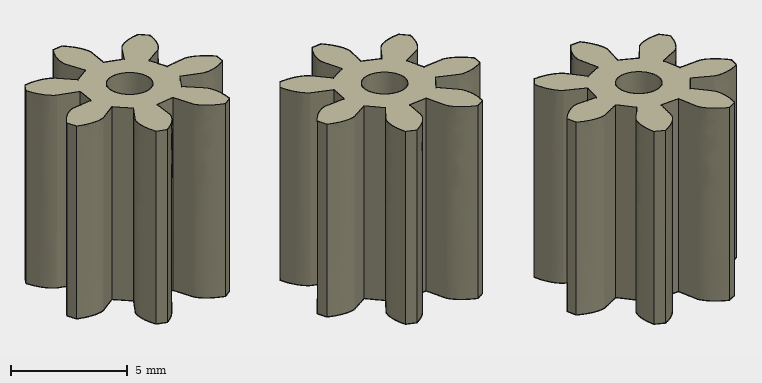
import cadquery as cq
import math

teeth = 7
tip_diameter = 9.0
bore_diameter = 2.0
length = 9.38
pressure_angle = math.radians(20)
addendum_ratio = 1.0
dedendum_ratio = 1.25
flank_points = 8

module = tip_diameter / (teeth + 2 * addendum_ratio)
pitch_radius = module * teeth / 2
tip_radius = tip_diameter / 2
root_radius = pitch_radius - dedendum_ratio * module
base_radius = pitch_radius * math.cos(pressure_angle)

base_half_angle = math.pi / (2 * teeth) + math.tan(pressure_angle) - pressure_angle
tip_roll = math.sqrt((tip_radius / base_radius) ** 2 - 1)


def polar(radius, angle):
    return (radius * math.cos(angle), radius * math.sin(angle))


def involute_flank(tooth_angle, side):
    """Points from base circle to tip; side is -1 for the clockwise flank, +1 for the other."""
    points = []
    for i in range(flank_points):
        roll = tip_roll * i / (flank_points - 1)
        radius = base_radius * math.sqrt(1 + roll**2)
        half_angle = base_half_angle - (roll - math.atan(roll))
        points.append(polar(radius, tooth_angle + side * half_angle))
    return points


def gear_outline():
    """Teeth with radial lower flanks, involute upper flanks, flat tips and flat roots."""
    outline = cq.Workplane("XY").moveTo(*polar(root_radius, -base_half_angle))
    for tooth in range(teeth):
        tooth_angle = 2 * math.pi * tooth / teeth
        next_angle = 2 * math.pi * (tooth + 1) / teeth
        rising = involute_flank(tooth_angle, -1)
        falling = involute_flank(tooth_angle, 1)[::-1]

        outline = outline.lineTo(*rising[0])
        outline = outline.spline(rising[1:], includeCurrent=True)
        outline = outline.lineTo(*falling[0])
        outline = outline.spline(falling[1:], includeCurrent=True)
        outline = outline.lineTo(*polar(root_radius, tooth_angle + base_half_angle))
        if tooth < teeth - 1:
            outline = outline.lineTo(*polar(root_radius, next_angle - base_half_angle))
    return outline.close()


gear = gear_outline().extrude(length)
bore = cq.Workplane("XY").circle(bore_diameter / 2).extrude(length)

result = gear.cut(bore)